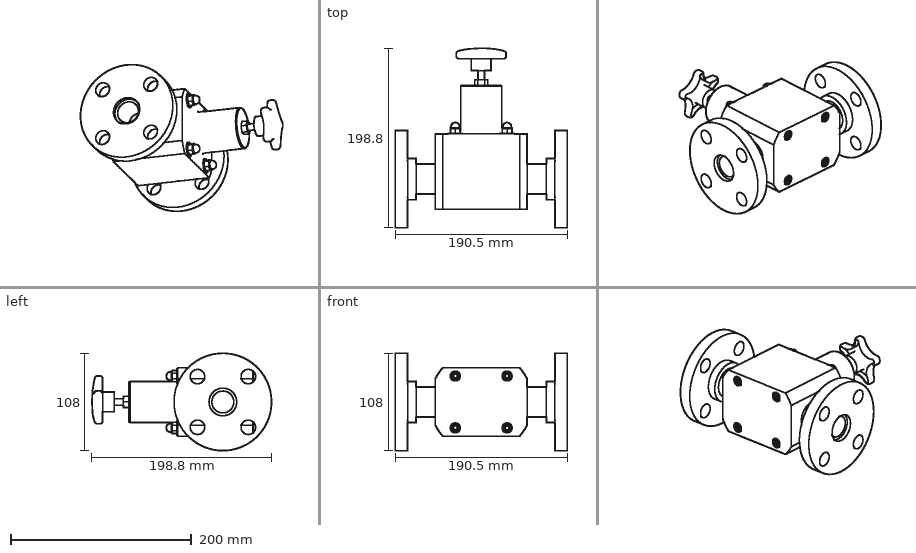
import cadquery as cq
import math


block_width = 101.8
block_height = 76.1
block_front_y = -33.4
block_back_y = 49.9
block_corner_diameter = 114.0

overall_length = 190.5
flange_diameter = 108.0
flange_thickness = 14.0
flange_hub_diameter = 45.7
flange_hub_length = 9.3
pipe_diameter = 33.4
bore_diameter = 24.3
counterbore_diameter = 30.6
counterbore_depth = 5.0
flange_hole_diameter = 16.0
flange_hole_offset = 28.0

bonnet_diameter = 45.7
bonnet_end_y = 103.8
bonnet_foot_radius = 5.8
bonnet_chamfer_length = 1.2
bonnet_chamfer_width = 1.0
stem_nut_flats = 12.7
stem_nut_length = 6.2
stem_diameter = 7.4

overall_depth = 198.8
wheel_tip_y = overall_depth - flange_diameter / 2
wheel_thickness = 12.1
wheel_base_y = wheel_tip_y - wheel_thickness
wheel_hub_diameter = 22.0
wheel_hub_length = 12.7
wheel_arm_count = 5
wheel_arm_radius = 5.2
wheel_arm_reach = 23.7
wheel_valley_reach = 17.9
wheel_dome_radius = 111.3
wheel_rounding = 3.2
wheel_rim_width = 2.5
wheel_pocket_depth = 6.4

bolt_spacing = 57.3
washer_diameter = 16.0
washer_thickness = 0.8
nut_flats = 11.0
nut_top_y = 55.7
nut_collar_height = 1.2
nut_dome_diameter = 9.5
nut_dome_top_y = 62.6
screw_recess_diameter = 11.0
screw_recess_depth = 6.0
screw_head_diameter = 9.5
screw_head_chamfer = 0.8
socket_flats = 4.4
socket_depth = 2.4
socket_cone_depth = 1.2


def plane_at_y(y):
    """Workplane facing +Y, with local x along Z and local y along X."""
    return cq.Workplane(cq.Plane(origin=(0, y, 0), xDir=(0, 0, 1), normal=(0, 1, 0)))


def disc_y(diameter, y_start, y_end):
    return plane_at_y(y_start).circle(diameter / 2).extrude(y_end - y_start)


def hexagon_y(flats, y_start, y_end):
    """Hexagonal prism along Y with two corners pointing to +Z and -Z."""
    corner_diameter = flats / math.cos(math.pi / 6)
    return plane_at_y(y_start).polygon(6, corner_diameter).extrude(y_end - y_start)


def at_bolts(solid):
    """Copy a solid from the stem axis to the four bolt positions."""
    half = bolt_spacing / 2
    copies = cq.Workplane()
    for x in (-half, half):
        for z in (-half, half):
            copies = copies.add(solid.translate((x, 0, z)))
    return copies.combine()


def make_block():
    block = plane_at_y(block_front_y).rect(block_height, block_width).extrude(block_back_y - block_front_y)
    return block.intersect(disc_y(block_corner_diameter, block_front_y, block_back_y))


def make_pipe_end():
    """Pipe, hub and drilled flange on the +X side."""
    face_x = overall_length / 2
    flange_back_x = face_x - flange_thickness
    hub_back_x = flange_back_x - flange_hub_length
    block_x = block_width / 2
    profile = [
        (block_x, bore_diameter / 2),
        (block_x, pipe_diameter / 2),
        (hub_back_x, pipe_diameter / 2),
        (hub_back_x, flange_hub_diameter / 2),
        (flange_back_x, flange_hub_diameter / 2),
        (flange_back_x, flange_diameter / 2),
        (face_x, flange_diameter / 2),
        (face_x, counterbore_diameter / 2),
        (face_x - counterbore_depth, counterbore_diameter / 2),
        (face_x - counterbore_depth, bore_diameter / 2),
    ]
    body = cq.Workplane("XY").polyline(profile).close().revolve(360, (0, 0, 0), (1, 0, 0))
    holes = (
        cq.Workplane("YZ", origin=(flange_back_x, 0, 0))
        .rect(2 * flange_hole_offset, 2 * flange_hole_offset, forConstruction=True)
        .vertices()
        .circle(flange_hole_diameter / 2)
        .extrude(flange_thickness)
    )
    return body.cut(holes)


def make_bonnet():
    """Round bonnet with a concave foot on the block and a chamfered end, plus the stem nut and stem."""
    radius = bonnet_diameter / 2
    foot_center = (radius + bonnet_foot_radius, block_back_y + bonnet_foot_radius)
    arc_reach = bonnet_foot_radius * math.sqrt(0.5)
    bonnet = (
        cq.Workplane("XY")
        .moveTo(0, block_back_y)
        .lineTo(foot_center[0], block_back_y)
        .threePointArc((foot_center[0] - arc_reach, foot_center[1] - arc_reach), (radius, foot_center[1]))
        .lineTo(radius, bonnet_end_y - bonnet_chamfer_length)
        .lineTo(radius - bonnet_chamfer_width, bonnet_end_y)
        .lineTo(0, bonnet_end_y)
        .close()
        .revolve(360, (0, 0, 0), (0, 1, 0))
    )
    stem_nut = hexagon_y(stem_nut_flats, bonnet_end_y, bonnet_end_y + stem_nut_length)
    stem_nut = stem_nut.rotate((0, 0, 0), (0, 1, 0), 90)
    stem = disc_y(stem_diameter, bonnet_end_y, wheel_base_y - wheel_hub_length)
    return bonnet.union(stem_nut).union(stem)


def make_star(inset, y_start, height):
    """Five-armed star prism whose outline lies the given inset inside the wheel rim."""
    half_step = math.pi / wheel_arm_count
    arm_radius = wheel_arm_radius - inset
    valley_reach = wheel_valley_reach - inset
    gap = wheel_valley_reach - wheel_arm_radius
    valley_center = (wheel_arm_reach**2 - gap**2) / (2 * (wheel_arm_reach * math.cos(half_step) - gap))
    tangent_angle = math.atan2(
        valley_center * math.sin(half_step),
        valley_center * math.cos(half_step) - wheel_arm_reach,
    )
    tangent_reach = wheel_arm_reach + arm_radius * math.cos(tangent_angle)
    tangent_offset = arm_radius * math.sin(tangent_angle)

    def polar(reach, offset, angle):
        along = reach * math.cos(angle) - offset * math.sin(angle)
        across = reach * math.sin(angle) + offset * math.cos(angle)
        return (along, across)

    outline = plane_at_y(y_start).moveTo(*polar(tangent_reach, -tangent_offset, 0))
    for arm in range(wheel_arm_count):
        angle = 2 * half_step * arm
        next_angle = angle + 2 * half_step
        outline = outline.threePointArc(
            polar(wheel_arm_reach + arm_radius, 0, angle),
            polar(tangent_reach, tangent_offset, angle),
        ).threePointArc(
            polar(valley_reach, 0, angle + half_step),
            polar(tangent_reach, -tangent_offset, next_angle),
        )
    return outline.close().extrude(height)


def make_wheel():
    """Handwheel: rounded arms joined by concave arcs under a shallow dome, hollowed from below."""
    dome_reach = wheel_arm_reach + 2 * wheel_arm_radius
    dome_drop = wheel_dome_radius - math.sqrt(wheel_dome_radius**2 - dome_reach**2)
    half_drop = wheel_dome_radius - math.sqrt(wheel_dome_radius**2 - (dome_reach / 2) ** 2)
    dome = (
        cq.Workplane("XY")
        .moveTo(0, wheel_base_y)
        .lineTo(dome_reach, wheel_base_y)
        .lineTo(dome_reach, wheel_tip_y - dome_drop)
        .threePointArc((dome_reach / 2, wheel_tip_y - half_drop), (0, wheel_tip_y))
        .close()
        .revolve(360, (0, 0, 0), (0, 1, 0))
    )
    star = make_star(0, wheel_base_y, wheel_thickness).intersect(dome)
    star = star.faces("<Y").edges().fillet(wheel_rounding)
    star = star.faces("%SPHERE").edges().fillet(wheel_rounding)
    pocket = make_star(wheel_rim_width, wheel_base_y, wheel_pocket_depth)
    return star.cut(pocket).union(make_wheel_hub())


def make_wheel_hub():
    """Round hub with a concave root that blends into the pocket floor of the handwheel."""
    radius = wheel_hub_diameter / 2
    root_radius = radius + wheel_rounding
    floor_y = wheel_base_y + wheel_pocket_depth
    end_y = wheel_base_y - wheel_hub_length
    root_start_y = floor_y - wheel_rounding
    arc_reach = wheel_rounding * math.sqrt(0.5)
    return (
        cq.Workplane("XY")
        .moveTo(0, end_y)
        .lineTo(radius, end_y)
        .lineTo(radius, root_start_y)
        .threePointArc((root_radius - arc_reach, root_start_y + arc_reach), (root_radius, floor_y))
        .lineTo(0, floor_y)
        .close()
        .revolve(360, (0, 0, 0), (0, 1, 0))
    )


def make_cap_nut():
    """Washer and domed hexagon nut on the back of the block."""
    dome_radius = nut_dome_diameter / 2
    collar_top_y = nut_top_y + nut_collar_height
    dome_center_y = nut_dome_top_y - dome_radius
    washer = disc_y(washer_diameter, block_back_y, block_back_y + washer_thickness)
    hexagon = hexagon_y(nut_flats, block_back_y, nut_top_y)
    collar = disc_y(nut_flats, nut_top_y, collar_top_y)
    neck = disc_y(nut_dome_diameter, collar_top_y, dome_center_y)
    dome = cq.Workplane("XY").sphere(dome_radius).translate((0, dome_center_y, 0))
    return washer.union(hexagon).union(collar).union(neck).union(dome)


def make_screw_head():
    """Socket screw head, flush with the front of the block, with a conical socket bottom."""
    floor_y = block_front_y + screw_recess_depth
    socket_end_y = block_front_y + socket_depth
    head = disc_y(screw_head_diameter, block_front_y, floor_y)
    head = head.faces("<Y").edges().chamfer(screw_head_chamfer)
    cone = cq.Workplane(
        cq.Solid.makeCone(socket_flats / 2, 0, socket_cone_depth, cq.Vector(0, socket_end_y, 0), cq.Vector(0, 1, 0))
    )
    return head.cut(hexagon_y(socket_flats, block_front_y, socket_end_y)).cut(cone)


pipe_end = make_pipe_end()
screw_recess = disc_y(screw_recess_diameter, block_front_y, block_front_y + screw_recess_depth)

result = (
    make_block()
    .cut(at_bolts(screw_recess))
    .union(at_bolts(make_screw_head()))
    .union(pipe_end)
    .union(pipe_end.mirror("YZ"))
    .union(make_bonnet())
    .union(make_wheel())
    .union(at_bolts(make_cap_nut()))
)